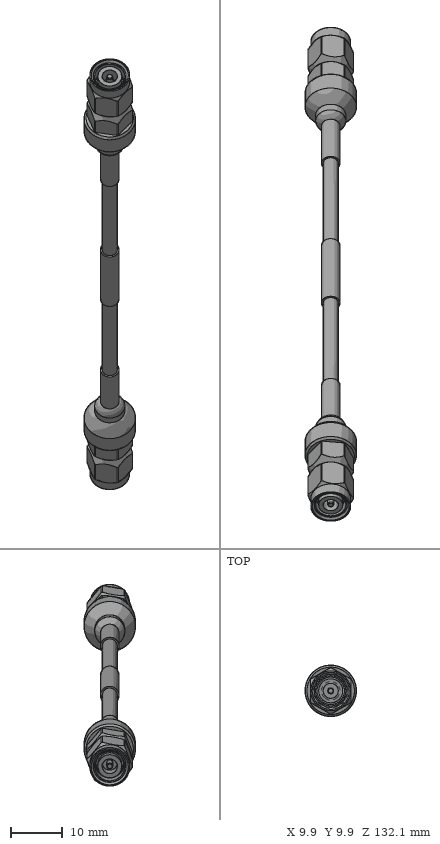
import cadquery as cq
import math

TOTAL_LENGTH = 132.1
HALF_LENGTH = TOTAL_LENGTH / 2

CABLE_DIAMETER = 2.9
SLEEVE_DIAMETER = 3.6
END_SLEEVE_LENGTH = 10.6
MIDDLE_SLEEVE_LENGTH = 16.4

TIP_DIAMETER = 7.7
NUT_FLATS = 7.8
NUT_CORNERS = NUT_FLATS / math.cos(math.pi / 6)
NUT_DIAMETER = 8.8
NECK_DIAMETER = 6.6
FLANGE_DIAMETER = 9.9
COLLAR_DIAMETER = 5.8
TIP_DEPTH = 2.2
NUT_TIP_CHAMFER = (NUT_DIAMETER - TIP_DIAMETER) / 2
NUT_END_DEPTH = 7.8
NECK_DEPTH = 9.1
BODY_HEX_DEPTH = 10.5
FLANGE_START_DEPTH = 14.1
FLANGE_EDGE_CHAMFER = 0.4
FLANGE_END_DEPTH = 18.5
COLLAR_START_DEPTH = 20.9
COLLAR_END_DEPTH = 22.5
CONNECTOR_LENGTH = 23.9
SHOULDER_BULGE = 0.2
COLLAR_BULGE = 0.2

SOCKET_DIAMETER = 6.3
SOCKET_CHAMFER = 0.4
SOCKET_STEP_DIAMETER = 5.8
SOCKET_STEP_DEPTH = 0.5
SOCKET_DEPTH = 3.3
SPIGOT_RECESS = 0.4
SPIGOT_DIAMETER = 4.6
SPIGOT_SEAT_DIAMETER = 5.3
SPIGOT_SEAT_DEPTH = 2.0
SPIGOT_BORE_DIAMETER = 2.9
PIN_DIAMETER = 1.16
PIN_TIP_DIAMETER = 0.91
PIN_TIP_LENGTH = 0.3


def cylinder(diameter, z_start, z_end):
    """Solid cylinder on the Z axis between two heights."""
    return cq.Workplane("XY").workplane(offset=z_start).circle(diameter / 2).extrude(z_end - z_start)


def cone(start_diameter, end_diameter, z_start, z_end):
    """Solid truncated cone on the Z axis between two heights."""
    return (
        cq.Workplane("XY")
        .workplane(offset=z_start)
        .circle(start_diameter / 2)
        .workplane(offset=z_end - z_start)
        .circle(end_diameter / 2)
        .loft()
    )


def bulged_middle(start, end, bulge):
    """Middle point of an arc that swells outward by `bulge` from the chord start-end."""
    run = end[0] - start[0]
    rise = end[1] - start[1]
    chord = math.hypot(run, rise)
    return (
        (start[0] + end[0]) / 2 + bulge * rise / chord,
        (start[1] + end[1]) / 2 - bulge * run / chord,
    )


def make_envelope():
    """Turned blank of the connector, mating end at Z = 0 and growing toward +Z."""
    flange_radius = FLANGE_DIAMETER / 2
    shoulder_start = (flange_radius, FLANGE_END_DEPTH)
    shoulder_end = (COLLAR_DIAMETER / 2, COLLAR_START_DEPTH)
    collar_end = (COLLAR_DIAMETER / 2, COLLAR_END_DEPTH)
    cable_entry = (SLEEVE_DIAMETER / 2, CONNECTOR_LENGTH)
    profile = (
        cq.Workplane("XZ")
        .moveTo(0, 0)
        .lineTo(TIP_DIAMETER / 2, 0)
        .lineTo(TIP_DIAMETER / 2, TIP_DEPTH)
        .lineTo(NUT_DIAMETER / 2, TIP_DEPTH + NUT_TIP_CHAMFER)
        .lineTo(NUT_DIAMETER / 2, NUT_END_DEPTH)
        .lineTo(NECK_DIAMETER / 2, NECK_DEPTH)
        .lineTo(NUT_DIAMETER / 2, BODY_HEX_DEPTH)
        .lineTo(NUT_DIAMETER / 2, FLANGE_START_DEPTH)
        .lineTo(flange_radius - FLANGE_EDGE_CHAMFER, FLANGE_START_DEPTH)
        .lineTo(flange_radius, FLANGE_START_DEPTH + FLANGE_EDGE_CHAMFER)
        .lineTo(*shoulder_start)
        .threePointArc(bulged_middle(shoulder_start, shoulder_end, SHOULDER_BULGE), shoulder_end)
        .lineTo(*collar_end)
        .threePointArc(bulged_middle(collar_end, cable_entry, COLLAR_BULGE), cable_entry)
        .lineTo(0, CONNECTOR_LENGTH)
        .close()
    )
    return profile.revolve(360, (0, 0), (0, 1))


def make_hex_cutter():
    """Material outside the hexagon along both nuts; two corners lie on the Y axis."""
    hexagon = (
        cq.Workplane("XY")
        .workplane(offset=TIP_DEPTH)
        .polygon(6, NUT_CORNERS)
        .extrude(FLANGE_START_DEPTH - TIP_DEPTH)
        .rotate((0, 0, 0), (0, 0, 1), 90)
    )
    return cylinder(FLANGE_DIAMETER, TIP_DEPTH, FLANGE_START_DEPTH).cut(hexagon)


def make_pin():
    """Centre pin with a tapered tip, level with the end of the spigot."""
    shoulder = SPIGOT_RECESS + PIN_TIP_LENGTH
    taper = cone(PIN_TIP_DIAMETER, PIN_DIAMETER, SPIGOT_RECESS, shoulder)
    return cylinder(PIN_DIAMETER, shoulder, SOCKET_DEPTH).union(taper)


def make_socket_cutter():
    """Stepped mating socket that leaves the hollow spigot and its pin standing."""
    mouth = cylinder(SOCKET_DIAMETER, 0, SOCKET_STEP_DEPTH)
    lead_in = cone(SOCKET_DIAMETER + 2 * SOCKET_CHAMFER, SOCKET_DIAMETER, 0, SOCKET_CHAMFER)
    bore = cylinder(SOCKET_STEP_DIAMETER, 0, SOCKET_DEPTH)
    spigot = cylinder(SPIGOT_DIAMETER, SPIGOT_RECESS, SOCKET_DEPTH)
    spigot = spigot.union(cylinder(SPIGOT_SEAT_DIAMETER, SPIGOT_SEAT_DEPTH, SOCKET_DEPTH))
    spigot_bore = cylinder(SPIGOT_BORE_DIAMETER, SPIGOT_RECESS, SOCKET_DEPTH)
    return mouth.union(lead_in).union(bore).cut(spigot.cut(spigot_bore)).cut(make_pin())


def make_connector(end):
    """Connector at the top (end = 1) or bottom (end = -1) of the cable."""
    connector = make_envelope().cut(make_hex_cutter()).cut(make_socket_cutter())
    connector = connector.translate((0, 0, -HALF_LENGTH))
    if end > 0:
        connector = connector.mirror("XY")
    return connector


def make_cable():
    """Cable with a sleeve at each end and one in the middle."""
    cable_end = HALF_LENGTH - CONNECTOR_LENGTH
    cable = cylinder(CABLE_DIAMETER, -cable_end, cable_end)
    sleeve_spans = [
        (-cable_end, -cable_end + END_SLEEVE_LENGTH),
        (-MIDDLE_SLEEVE_LENGTH / 2, MIDDLE_SLEEVE_LENGTH / 2),
        (cable_end - END_SLEEVE_LENGTH, cable_end),
    ]
    for z_start, z_end in sleeve_spans:
        cable = cable.union(cylinder(SLEEVE_DIAMETER, z_start, z_end))
    return cable


cable = make_cable()
connectors = [make_connector(end) for end in (1, -1)]

result = cq.Compound.makeCompound([cable.val(), *[connector.val() for connector in connectors]])